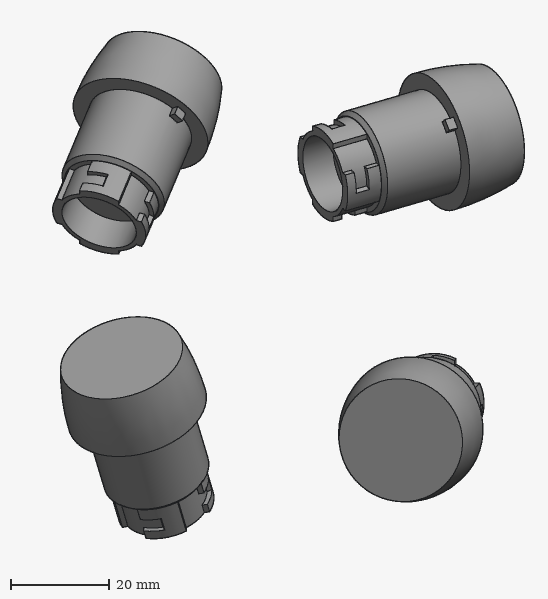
import cadquery as cq
import math

total_length = 40.1
head_diameter = 29.0
head_end_diameter = 25.5
head_length = 14.0
barrel_diameter = 22.0
collar_diameter = 20.05
collar_length = 7.95
chamfer_length = 0.92
chamfer_end_diameter = 20.3

bore_diameter = 16.0
bore_depth = 7.1

recess_diameter = 18.05
lobe_half_width = 4.2

notch_start = 2.05
notch_end = 5.1
notch_wall_tilt = 20.0
notch_wall_outer_offset = 0.2

key_angle = 45.0
key_width = 2.4
key_length = 2.0
key_reach = 12.55

LOBE_COUNT = 4


def cylinder(diameter, start, length):
    """Cylinder on the Y axis, from start towards +Y."""
    plane = cq.Workplane("XZ", origin=(0, start, 0))
    return plane.circle(diameter / 2).extrude(-length)


def make_body():
    """Revolved collar, chamfered barrel and barrel-shaped head."""
    collar_radius = collar_diameter / 2
    barrel_radius = barrel_diameter / 2
    head_radius = head_diameter / 2
    head_end_radius = head_end_diameter / 2
    head_start = total_length - head_length
    return (
        cq.Workplane("XY")
        .lineTo(collar_radius, 0)
        .lineTo(collar_radius, collar_length)
        .lineTo(chamfer_end_diameter / 2, collar_length)
        .lineTo(barrel_radius, collar_length + chamfer_length)
        .lineTo(barrel_radius, head_start)
        .lineTo(head_radius, head_start)
        .threePointArc(head_arc_middle(head_start), (head_end_radius, total_length))
        .lineTo(0, total_length)
        .close()
        .revolve(360, (0, 0, 0), (0, 1, 0))
    )


def head_arc_middle(head_start):
    """Point midway along the head arc, which starts parallel to the axis."""
    drop = (head_diameter - head_end_diameter) / 2
    arc_radius = (head_length**2 + drop**2) / (2 * drop)
    half_angle = math.asin(head_length / arc_radius) / 2
    radius = head_diameter / 2 - arc_radius * (1 - math.cos(half_angle))
    return (radius, head_start + arc_radius * math.sin(half_angle))


def make_recess():
    """Material removed from the collar in the +X +Z corner."""
    size = collar_diameter / 2
    center = lobe_half_width + size / 2
    corner = cq.Workplane("XY").box(size, collar_length, size)
    corner = corner.translate((center, collar_length / 2, center))
    return corner.cut(cylinder(recess_diameter, 0, collar_length))


def make_notch():
    """Material removed from the -X half of the +Z lobe, with a tilted end wall."""
    outer = collar_diameter / 2
    slope = math.tan(math.radians(notch_wall_tilt))
    wall_foot = notch_wall_outer_offset - outer * slope
    length = notch_end - notch_start
    wedge = (
        cq.Workplane("XZ", origin=(0, notch_start, 0))
        .polyline([
            (-lobe_half_width, 0),
            (wall_foot, 0),
            (notch_wall_outer_offset + outer * slope, 2 * outer),
            (-lobe_half_width, 2 * outer),
        ])
        .close()
        .extrude(-length)
    )
    return wedge.cut(cylinder(recess_diameter, notch_start, length))


def make_key():
    """Key projecting from the barrel, turned about the Y axis."""
    key = cq.Workplane("XY").box(key_reach, key_length, key_width)
    key_center = total_length - head_length - key_length / 2
    key = key.translate((key_reach / 2, key_center, 0))
    return key.rotate((0, 0, 0), (0, 1, 0), -key_angle)


result = make_body().union(make_key())
recess = make_recess()
notch = make_notch()
for index in range(LOBE_COUNT):
    angle = index * 360 / LOBE_COUNT
    result = result.cut(recess.rotate((0, 0, 0), (0, 1, 0), angle))
    result = result.cut(notch.rotate((0, 0, 0), (0, 1, 0), angle))
result = result.cut(cylinder(bore_diameter, 0, bore_depth))